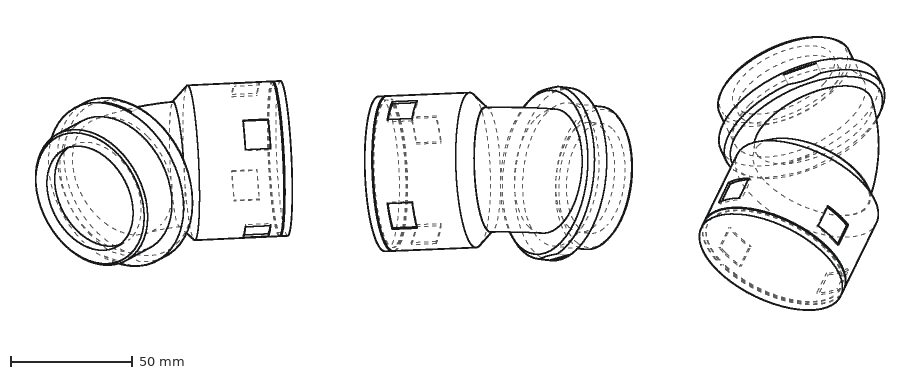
import cadquery as cq
import math

overall_length = 102.4
bend_angle = 45.0

spigot_diameter = 59.3
spigot_length = 17.0
spigot_lead_in_width = 1.0
spigot_lead_in_length = 1.0
recess_diameter = 45.5
recess_depth = 5.1

flange_diameter = 71.5
flange_thickness = 8.0
flange_chamfer_width = 1.8
flange_chamfer_length = 2.0
flat_width = 14.6
flat_lip = 0.9

tube_diameter = 51.4
bend_radius = 54.3
bend_center_x = 49.7
bend_center_y = 14.1

axis_crossing_y = 41.4
socket_diameter = 64.0
cone_start = 9.5
end_ring_width = 3.1
groove_width = 0.4
groove_diameter = 60.9

window_count = 4
window_length = 10.4
window_width = 12.9
window_depth = 1.0
window_end_gap = 8.4

spigot_radius = spigot_diameter / 2
flange_radius = flange_diameter / 2
tube_radius = tube_diameter / 2
socket_radius = socket_diameter / 2
cone_length = socket_radius - tube_radius
flange_top = spigot_length + flange_thickness
bend_radians = math.radians(bend_angle)
socket_end = (
    overall_length - axis_crossing_y - socket_radius * math.sin(bend_radians)
) / math.cos(bend_radians)


def make_spigot_and_flange():
    """Turn the stepped profile about Y, then sink the recess in its end."""
    body = (
        cq.Workplane("XY")
        .moveTo(0, 0)
        .lineTo(spigot_radius - spigot_lead_in_width, 0)
        .lineTo(spigot_radius, spigot_lead_in_length)
        .lineTo(spigot_radius, spigot_length)
        .lineTo(flange_radius, spigot_length)
        .lineTo(flange_radius, flange_top - flange_chamfer_length)
        .lineTo(flange_radius - flange_chamfer_width, flange_top)
        .lineTo(0, flange_top)
        .close()
        .revolve(360, (0, 0, 0), (0, 1, 0))
    )
    recess = cq.Workplane("XZ").circle(recess_diameter / 2).extrude(-recess_depth)
    return cut_flange_flats(body.cut(recess))


def cut_flange_flats(body):
    """Cut the two flats, leaving a thin full-round lip at the spigot side."""
    flat_height = math.sqrt(flange_radius**2 - (flat_width / 2) ** 2)
    cutter_height = flange_radius
    for side in (-1, 1):
        cutter = cq.Workplane("XY").box(
            flange_diameter, flange_thickness, cutter_height, centered=(True, False, True)
        )
        cutter_z = side * (flat_height + cutter_height / 2)
        body = body.cut(cutter.translate((0, spigot_length + flat_lip, cutter_z)))
    return body


def make_bend():
    """Sweep the round tube about the bend centre, from the spigot into the socket."""
    bend = (
        cq.Workplane("XZ", origin=(bend_center_x - bend_radius, bend_center_y, 0))
        .circle(tube_radius)
        .revolve(bend_angle, (bend_radius, 0, 0), (bend_radius, -1, 0))
    )
    trim_y = spigot_length + flange_thickness / 2
    trim = cq.Workplane("XZ", origin=(0, trim_y, 0)).circle(overall_length).extrude(overall_length)
    return bend.cut(trim)


def make_socket():
    """Build the socket along Y from the axis crossing, then tilt it into place."""
    ring_start = socket_end - end_ring_width
    groove_start = ring_start - groove_width
    groove_radius = groove_diameter / 2
    socket = (
        cq.Workplane("XY")
        .moveTo(0, cone_start)
        .lineTo(tube_radius, cone_start)
        .lineTo(socket_radius, cone_start + cone_length)
        .lineTo(socket_radius, groove_start)
        .lineTo(groove_radius, groove_start)
        .lineTo(groove_radius, ring_start)
        .lineTo(socket_radius, ring_start)
        .lineTo(socket_radius, socket_end)
        .lineTo(0, socket_end)
        .close()
        .revolve(360, (0, 0, 0), (0, 1, 0))
    )
    socket = socket.cut(make_windows())
    return socket.rotate((0, 0, 0), (0, 0, 1), -bend_angle).translate((0, axis_crossing_y, 0))


def make_windows():
    """Return shallow curved pockets, spaced evenly and placed between the X and Z axes."""
    window_start = socket_end - window_end_gap - window_length
    shell = (
        cq.Workplane("XZ", origin=(0, window_start, 0))
        .circle(socket_radius + window_depth)
        .circle(socket_radius - window_depth)
        .extrude(-window_length)
    )
    block = cq.Workplane("XY").box(
        window_width, window_length, socket_diameter, centered=(True, False, False)
    )
    block = block.translate((0, window_start, 0))
    spacing = 360 / window_count
    blocks = cq.Workplane("XY")
    for index in range(window_count):
        angle = (index + 0.5) * spacing
        blocks = blocks.add(block.rotate((0, 0, 0), (0, 1, 0), angle))
    return shell.intersect(blocks.combine())


result = make_spigot_and_flange().union(make_bend()).union(make_socket())